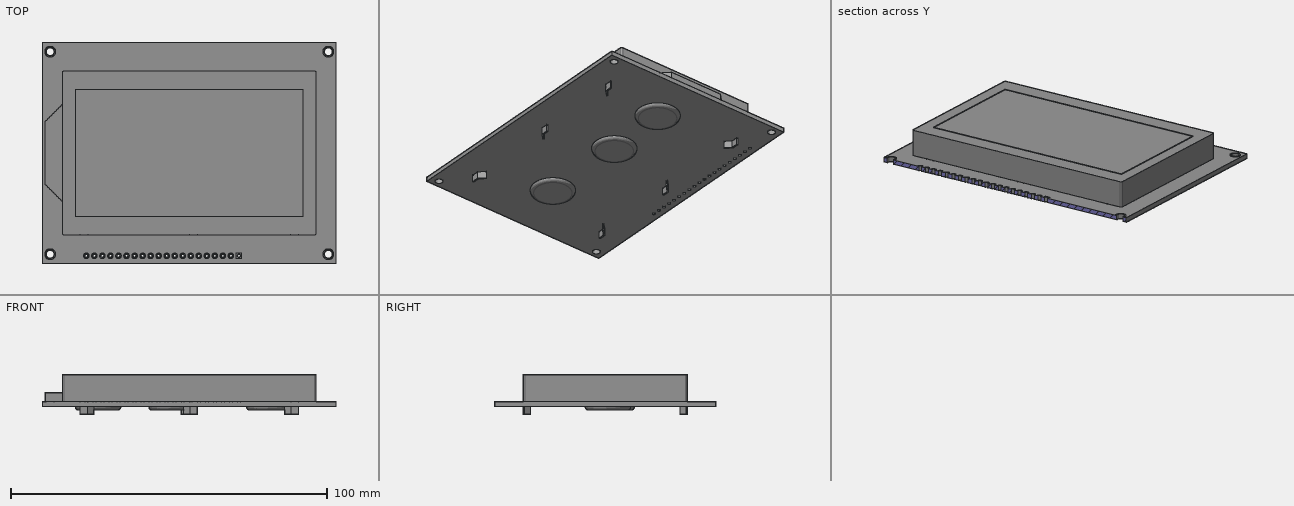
import cadquery as cq
import math

board_length = 93.0
board_width = 70.0
board_thickness = 1.6

pad_height = 0.05
mount_hole_spacing_x = 88.0
mount_hole_spacing_y = 64.1
mount_hole_diameter = 2.5
mount_pad_diameter = 3.4

pin_count = 20
pin_row_start_x = -32.55
pin_row_length = 48.3
pin_pitch = pin_row_length / (pin_count - 1)
pin_row_y = -32.55
pin_hole_diameter = 0.9
pin_pad_size = 1.8

dome_diameter = 14.4
dome_height = 1.1
dome_centers = [(-28.8, 2.0), (-5.6, 0.8), (25.3, 0.8)]

housing_length = 80.3
housing_width = 51.9
housing_height = 8.6
housing_corner_radius = 0.6
window_length = 72.1
window_width = 40.1
window_depth = 0.2

ledge_end_x = -45.6
ledge_height = 2.9
ledge_tip_width = 19.9
ledge_root_width = 30.8

tab_thickness = 0.5
tab_flat_length = 2.4
tab_bent_length = 2.8
tab_protrusion = 2.4
bend_angle = math.radians(45)
front_tabs = [(-32.2, 1), (0.2, -1), (32.2, -1)]


def make_tab(bend_x, direction):
    """One tab on the front wall, from the board's top face down to its free end."""
    wall_y = -housing_width / 2
    tip_x = tab_bent_length * math.cos(bend_angle)
    tip_y = tab_bent_length * math.sin(bend_angle)
    end_x = tab_thickness * math.sin(bend_angle)
    end_y = tab_thickness * math.cos(bend_angle)
    inner_bend_x = -tab_thickness * math.tan(bend_angle / 2)
    outline = [
        (-tab_flat_length, 0),
        (0, 0),
        (tip_x, tip_y),
        (tip_x - end_x, tip_y + end_y),
        (inner_bend_x, tab_thickness),
        (-tab_flat_length, tab_thickness),
    ]
    points = [(bend_x + direction * along, wall_y + inward) for along, inward in outline]
    return cq.Workplane("XY").polyline(points).close().extrude(-(board_thickness + tab_protrusion))


def make_tabs():
    """The front row of tabs and, turned half a revolution about Z, the back row."""
    front_row = [make_tab(bend_x, direction) for bend_x, direction in front_tabs]
    back_row = [tab.rotate((0, 0, 0), (0, 0, 1), 180) for tab in front_row]
    return front_row + back_row


def make_dome(center):
    """A disc whose lower rim is rounded over its full height."""
    radius = dome_diameter / 2
    face_radius = radius - dome_height
    arc_offset = dome_height / math.sqrt(2)
    dome = (
        cq.Workplane("XZ")
        .moveTo(0, 0)
        .lineTo(-radius, 0)
        .threePointArc((-face_radius - arc_offset, -arc_offset), (-face_radius, -dome_height))
        .lineTo(0, -dome_height)
        .close()
        .revolve(360, (0, 0), (0, 1))
    )
    return dome.translate((center[0], center[1], -board_thickness))


def add_pads_and_holes(board):
    """Raised pads at the corners and along the pin row, each drilled through the board."""
    pin_points = [(pin_row_start_x + i * pin_pitch, pin_row_y) for i in range(pin_count)]
    top = cq.Workplane("XY")
    mounts = top.rect(mount_hole_spacing_x, mount_hole_spacing_y, forConstruction=True).vertices()
    board = board.union(mounts.circle(mount_pad_diameter / 2).extrude(pad_height))
    board = board.union(top.pushPoints(pin_points[:-1]).circle(pin_pad_size / 2).extrude(pad_height))
    board = board.union(top.pushPoints(pin_points[-1:]).rect(pin_pad_size, pin_pad_size).extrude(pad_height))

    drill_top = cq.Workplane("XY").workplane(offset=pad_height)
    drill_depth = board_thickness + pad_height
    mounts = drill_top.rect(mount_hole_spacing_x, mount_hole_spacing_y, forConstruction=True).vertices()
    board = board.cut(mounts.circle(mount_hole_diameter / 2).extrude(-drill_depth))
    board = board.cut(drill_top.pushPoints(pin_points).circle(pin_hole_diameter / 2).extrude(-drill_depth))
    return board


def make_board(tabs):
    """The board with its pads, holes and domes, slotted for the tabs."""
    board = cq.Workplane("XY").box(
        board_length, board_width, board_thickness, centered=(True, True, False)
    ).translate((0, 0, -board_thickness))

    board = add_pads_and_holes(board)
    for center in dome_centers:
        board = board.union(make_dome(center))
    for tab in tabs:
        board = board.cut(tab)
    return board


def make_ledge():
    """The tapered ledge, from the housing's left end outwards."""
    root_x = -housing_length / 2
    points = [
        (0, -ledge_root_width / 2),
        (root_x, -ledge_root_width / 2),
        (ledge_end_x, -ledge_tip_width / 2),
        (ledge_end_x, ledge_tip_width / 2),
        (root_x, ledge_root_width / 2),
        (0, ledge_root_width / 2),
    ]
    return cq.Workplane("XY").polyline(points).close().extrude(ledge_height)


def make_display(tabs):
    """The housing with its sunken window, ledge and tabs."""
    display = (
        cq.Workplane("XY")
        .rect(housing_length, housing_width)
        .extrude(housing_height)
        .edges("|Z")
        .fillet(housing_corner_radius)
        .faces(">Z")
        .workplane()
        .rect(window_length, window_width)
        .cutBlind(-window_depth)
        .union(make_ledge())
    )
    for tab in tabs:
        display = display.union(tab)
    return display


tabs = make_tabs()
board = make_board(tabs)
display = make_display(tabs)

result = cq.Compound.makeCompound([board.val(), display.val()])